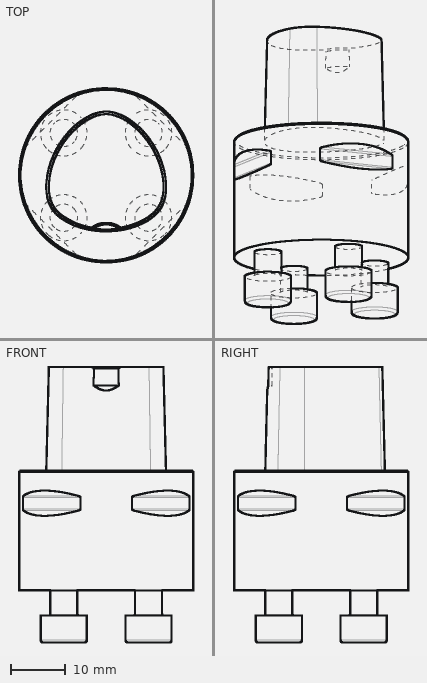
import cadquery as cq
import math

BODY_DIA = 32.0
BODY_RADIUS = BODY_DIA / 2
BODY_HEIGHT = 22.0
BODY_CHAMFER = 0.3

SHANK_WIDTH = 22.0
SHANK_HEIGHT = 19.0
SHANK_TAPER = 1 / 20
SHANK_ECCENTRICITY = 0.7
LOBE_COUNT = 3
LOBE_STEP = 360 / LOBE_COUNT
FIRST_LOBE_ANGLE = 90.0
LOBE_HALF_SPAN = 24.5
CURVE_STEPS = 8

NOTCH_RADIUS = 4.0
NOTCH_INNER_Y = -9.0
NOTCH_DEPTH = 3.4
NOTCH_CHAMFER = 0.3

GROOVE_ANGLES = (45, 135, 225, 315)
GROOVE_Z = -6.0
GROOVE_FLOOR_DISTANCE = 14.15
GROOVE_FLOOR_WIDTH = 2.5
GROOVE_FLANK_ANGLE = 30.0
GROOVE_FILLET = 0.4
CUT_MARGIN = 1.0

SCREW_COUNT = 4
SCREW_CIRCLE_DIA = 22.0
FIRST_SCREW_ANGLE = 45.0
SCREW_DIA = 5.0
SCREW_HEAD_DIA = 8.5
SCREW_HEAD_HEIGHT = 5.0
SCREW_OVERHANG = 9.59
SCREW_HEAD_FILLET = 0.5
SCREW_NECK_FILLET = 0.2


def polar(radius, angle):
    """Point at the given radius and angle in degrees."""
    return (radius * math.cos(math.radians(angle)), radius * math.sin(math.radians(angle)))


def shank_point(width, angle):
    """Point of the constant-width curve where the outward normal has the given angle."""
    lobe_phase = LOBE_COUNT * (angle - FIRST_LOBE_ANGLE)
    support, _ = polar(SHANK_ECCENTRICITY, lobe_phase)
    _, support_slope = polar(-LOBE_COUNT * SHANK_ECCENTRICITY, lobe_phase)
    normal_x, normal_y = polar(1, angle)
    reach = width / 2 + support
    return (reach * normal_x - support_slope * normal_y, reach * normal_y + support_slope * normal_x)


def shank_face_edge(z, width, start_angle, end_angle):
    """Smooth edge of one shank face, tangent to its neighbours at both ends."""
    angle_step = (end_angle - start_angle) / CURVE_STEPS
    angles = [start_angle + index * angle_step for index in range(CURVE_STEPS + 1)]
    points = [cq.Vector(*shank_point(width, angle), z) for angle in angles]
    tangents = [cq.Vector(*polar(1, angle + 90)) for angle in (start_angle, end_angle)]
    return cq.Edge.makeSpline(points, tangents=tangents)


def shank_section(z, width):
    """Closed outline of alternating lobe and side faces."""
    edges = []
    for index in range(LOBE_COUNT):
        lobe = FIRST_LOBE_ANGLE + index * LOBE_STEP
        lobe_start = lobe - LOBE_HALF_SPAN
        lobe_end = lobe + LOBE_HALF_SPAN
        edges.append(shank_face_edge(z, width, lobe_start, lobe_end))
        edges.append(shank_face_edge(z, width, lobe_end, lobe_start + LOBE_STEP))
    return cq.Wire.assembleEdges(edges)


def make_shank():
    top_width = SHANK_WIDTH - SHANK_TAPER * SHANK_HEIGHT
    base = shank_section(0, SHANK_WIDTH)
    top = shank_section(SHANK_HEIGHT, top_width)
    return cq.Workplane(cq.Solid.makeLoft([base, top], True))


def make_notch_cutter():
    """Vertical drill with a 90 degree point and a chamfered mouth."""
    rim_z = SHANK_HEIGHT - NOTCH_DEPTH
    mouth_radius = NOTCH_RADIUS + NOTCH_CHAMFER
    profile = (
        cq.Workplane("XZ")
        .moveTo(0, rim_z - NOTCH_RADIUS)
        .lineTo(NOTCH_RADIUS, rim_z)
        .lineTo(NOTCH_RADIUS, SHANK_HEIGHT - NOTCH_CHAMFER)
        .lineTo(mouth_radius, SHANK_HEIGHT)
        .lineTo(mouth_radius, SHANK_HEIGHT + CUT_MARGIN)
        .lineTo(0, SHANK_HEIGHT + CUT_MARGIN)
        .close()
    )
    drill = profile.revolve(360, (0, 0, 0), (0, 1, 0))
    return drill.translate((0, NOTCH_INNER_Y - NOTCH_RADIUS, 0))


def make_body():
    body = cq.Workplane("XY").circle(BODY_RADIUS).extrude(-BODY_HEIGHT)
    return body.faces(">Z").edges().chamfer(BODY_CHAMFER)


def make_groove_cutter(angle):
    """Straight trapezoidal groove with rounded floor corners, facing outwards at the given angle."""
    outer_x = BODY_RADIUS + CUT_MARGIN
    floor_half = GROOVE_FLOOR_WIDTH / 2
    flank_rise = (outer_x - GROOVE_FLOOR_DISTANCE) * math.tan(math.radians(GROOVE_FLANK_ANGLE))
    outer_half = floor_half + flank_rise
    corners = [
        (GROOVE_FLOOR_DISTANCE, GROOVE_Z - floor_half),
        (outer_x, GROOVE_Z - outer_half),
        (outer_x, GROOVE_Z + outer_half),
        (GROOVE_FLOOR_DISTANCE, GROOVE_Z + floor_half),
    ]
    groove = cq.Workplane("XZ").polyline(corners).close().extrude(BODY_RADIUS, both=True)
    groove = groove.faces("<X").edges("|Y").fillet(GROOVE_FILLET)
    return groove.rotate((0, 0, 0), (0, 0, 1), angle)


def make_screw(angle):
    """Exposed shank and head of one screw, with a small fillet where they meet."""
    end_z = -BODY_HEIGHT - SCREW_OVERHANG
    end_plane = cq.Workplane("XY").workplane(offset=end_z)
    head = end_plane.circle(SCREW_HEAD_DIA / 2).extrude(SCREW_HEAD_HEIGHT)
    head = head.faces("<Z").edges().fillet(SCREW_HEAD_FILLET)
    shank = end_plane.circle(SCREW_DIA / 2).extrude(SCREW_OVERHANG)
    neck_z = end_z + SCREW_HEAD_HEIGHT
    neck_edge = cq.selectors.BoxSelector(
        (-SCREW_DIA, -SCREW_DIA, neck_z - SCREW_NECK_FILLET),
        (SCREW_DIA, SCREW_DIA, neck_z + SCREW_NECK_FILLET),
    )
    screw = head.union(shank)
    screw = screw.edges(neck_edge).edges(cq.selectors.RadiusNthSelector(0)).fillet(SCREW_NECK_FILLET)
    x, y = polar(SCREW_CIRCLE_DIA / 2, angle)
    return screw.translate((x, y, 0))


result = make_body()
for groove_angle in GROOVE_ANGLES:
    result = result.cut(make_groove_cutter(groove_angle))
result = result.union(make_shank().cut(make_notch_cutter()))
for screw_index in range(SCREW_COUNT):
    screw_angle = FIRST_SCREW_ANGLE + screw_index * 360 / SCREW_COUNT
    result = result.union(make_screw(screw_angle))